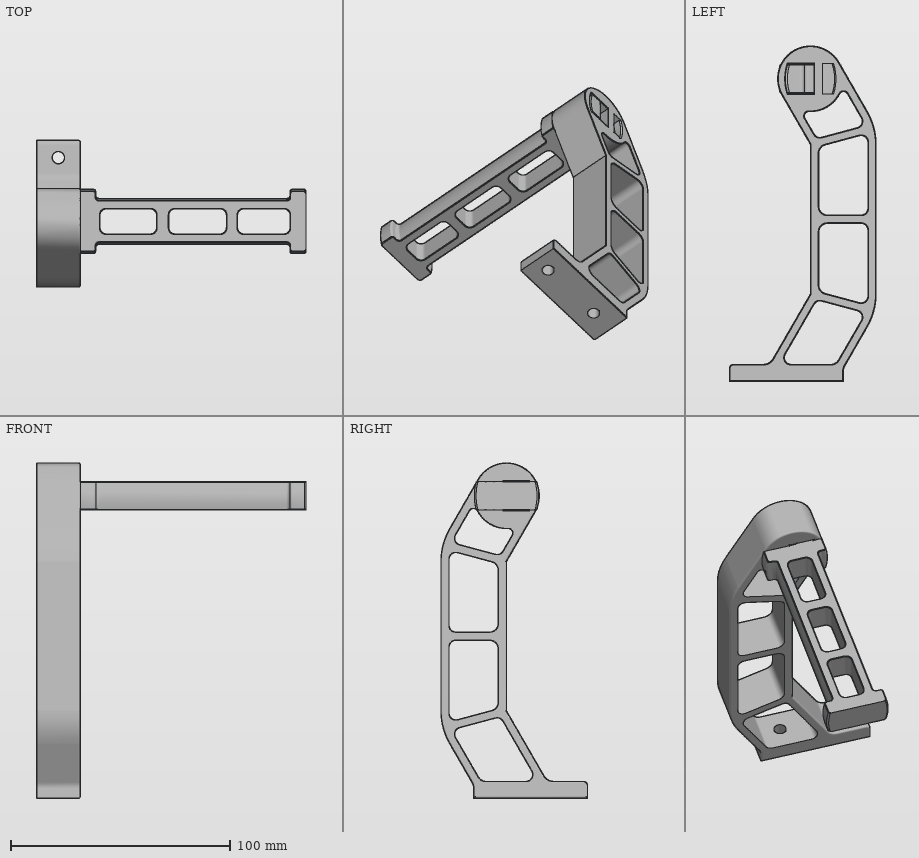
import cadquery as cq
import math


HEIGHT = 153.0
BRACKET_THICKNESS = 20.0
HEAD_RADIUS = 15.0
ARM_WIDTH = 2 * HEAD_RADIUS
BEND = math.radians(30)
LOWER_BEND_Z = 40.0
WALL = 3.8
BASE_THICKNESS = 7.8
BASE_FRONT_Y = -HEAD_RADIUS
BASE_BACK_Y = 37.0
BASE_TIP_RADIUS = 2.0
BASE_ROOT_RADIUS = 5.0
INNER_EDGE_RADIUS = 0.9
OUTER_EDGE_CHAMFER = 0.3
HEAD_WINDOW_RADIUS = 2.0
WINDOW_RADIUS = 3.0
LARGE_WINDOW_RADIUS = 4.0
SCREW_COUNT = 2
SCREW_DIAMETER = 5.5
SCREW_SPACING = 32.1
SCREW_END_DISTANCE = 8.0

TOTAL_LENGTH = 123.0
HANDLE_HEIGHT = 12.9
GRIP_HALF_WIDTH = 10.5
GRIP_SIDE_RADIUS = 21.4
FLANGE_STEP = 4.1
COLLAR_LENGTH = 7.0
END_FLANGE_LENGTH = 7.3
FLANGE_ROOT_RADIUS = 1.5
FLANGE_RIM_RADIUS = 1.0
END_CHAMFER = 0.8
HANDLE_CHAMFER = 0.3
HANDLE_WINDOW_SPANS = [(29.0, 54.8), (60.5, 86.6), (91.8, 115.7)]
HANDLE_WINDOW_WIDTH = 11.3
HANDLE_WINDOW_RADIUS = 2.8

CLIP_INNER_Y = 2.8
CLIP_RADIUS = 2.1
CLIP_CLEARANCE = 0.5
SLOT_INNER_Y = -1.5
POCKET_INNER_Y = -5.5
POCKET_DEPTH = 4.0
POCKET_FLOOR_RADIUS = 1.0
POCKET_RIM_CHAMFER = 0.6

SIN = math.sin(BEND)
COS = math.cos(BEND)
HALF_SIN = math.sin(BEND / 2)
HALF_COS = math.cos(BEND / 2)
HEAD_Z = HEIGHT - HEAD_RADIUS
UPPER_BEND_Z = HEAD_Z - HEAD_RADIUS / SIN
MIDDLE_STRUT_Z = (UPPER_BEND_Z + LOWER_BEND_Z) / 2
END_FLANGE_X = TOTAL_LENGTH - END_FLANGE_LENGTH
OPENING_HALF_HEIGHT = HANDLE_HEIGHT / 2 + CLIP_CLEARANCE
POCKET_OUTER_Y = -GRIP_HALF_WIDTH - CLIP_CLEARANCE
PICK = 0.2
CENTROID_SHIFT = 0.6

UPPER = (UPPER_BEND_Z, 1)
LOWER = (LOWER_BEND_Z, -1)


def side_plane(x=0.0):
    """Workplane at x with local axes Y and Z; extrusions go toward +X."""
    return cq.Workplane("YZ", origin=(x, 0, 0))


def long_edge(y, z):
    """Selector of the edge that runs through the bracket along X at (y, z)."""
    return cq.selectors.BoxSelector((0, y - PICK, z - PICK), (BRACKET_THICKNESS, y + PICK, z + PICK))


def cross_edge(x, y):
    """Selector of the edge in the plane at x that crosses the handle axis height near y."""
    low_corner = (x - PICK, y - CENTROID_SHIFT, HEAD_Z - PICK)
    return cq.selectors.BoxSelector(low_corner, (x + PICK, y + CENTROID_SHIFT, HEAD_Z + PICK))



def slanted_wall(bend, z, inset):
    """Point at height z on a slanted line that lies inset from the arm's +Y edge."""
    bend_z, lean = bend
    return lean * (z - bend_z) * SIN / COS - inset / COS, z


def strut_edge(bend, y, side):
    """Point at y on an edge of the strut that halves a bend; side is +1 toward the arm's end."""
    bend_z, lean = bend
    return y, bend_z + lean * (side * WALL / 2 - y * HALF_SIN) / HALF_COS


def slanted_corner(bend, inset):
    """Point where the strut's end-side edge meets the slanted line at this inset."""
    return strut_edge(bend, SIN * WALL / 2 / HALF_COS - inset, 1)


def bend_point(bend, sine, cosine):
    """Point on the arc around a bend's +Y corner."""
    bend_z, lean = bend
    return -ARM_WIDTH * cosine, bend_z + lean * ARM_WIDTH * sine


def make_bracket_blank():
    """Outline of head, bent arm and foot, with its rounded corners and handle-side edges."""
    base_root = slanted_wall(LOWER, BASE_THICKNESS, 0)
    base_front_z = LOWER_BEND_Z - (ARM_WIDTH / COS + BASE_FRONT_Y) * COS / SIN
    blank = (
        side_plane()
        .moveTo(HEAD_RADIUS * COS, HEAD_Z - HEAD_RADIUS * SIN)
        .threePointArc((0, HEIGHT), (-HEAD_RADIUS * COS, HEAD_Z + HEAD_RADIUS * SIN))
        .lineTo(*bend_point(UPPER, SIN, COS))
        .threePointArc(bend_point(UPPER, HALF_SIN, HALF_COS), bend_point(UPPER, 0, 1))
        .lineTo(*bend_point(LOWER, 0, 1))
        .threePointArc(bend_point(LOWER, HALF_SIN, HALF_COS), bend_point(LOWER, SIN, COS))
        .lineTo(BASE_FRONT_Y, base_front_z)
        .lineTo(BASE_FRONT_Y, 0)
        .lineTo(BASE_BACK_Y, 0)
        .lineTo(BASE_BACK_Y, BASE_THICKNESS)
        .lineTo(*base_root)
        .lineTo(0, LOWER_BEND_Z)
        .lineTo(0, UPPER_BEND_Z)
        .close()
        .extrude(BRACKET_THICKNESS)
    )
    blank = blank.edges(long_edge(*base_root)).fillet(BASE_ROOT_RADIUS)
    blank = blank.edges(long_edge(BASE_FRONT_Y, base_front_z)).fillet(BASE_ROOT_RADIUS)
    blank = blank.edges(long_edge(BASE_BACK_Y, BASE_THICKNESS)).fillet(BASE_TIP_RADIUS)
    return blank.faces(">X").edges().fillet(INNER_EDGE_RADIUS)


def window(corners, radii):
    """Prism through the bracket with one radius for each corner."""
    prism = side_plane().polyline(corners).close().extrude(BRACKET_THICKNESS)
    for corner, radius in zip(corners, radii):
        prism = prism.edges(long_edge(*corner)).fillet(radius)
    return prism


def upright_window(bend):
    """Window of the upright part, between the middle strut and the strut at one bend."""
    back_y = -WALL
    front_y = -ARM_WIDTH + WALL
    middle_z = MIDDLE_STRUT_Z + bend[1] * WALL / 2
    corners = [
        (back_y, middle_z),
        (front_y, middle_z),
        strut_edge(bend, front_y, -1),
        strut_edge(bend, back_y, -1),
    ]
    return window(corners, [LARGE_WINDOW_RADIUS, WINDOW_RADIUS, WINDOW_RADIUS, LARGE_WINDOW_RADIUS])


def base_window():
    """Window between the foot and the lower strut."""
    corners = [
        slanted_wall(LOWER, BASE_THICKNESS, WALL),
        slanted_wall(LOWER, BASE_THICKNESS, ARM_WIDTH - WALL),
        slanted_corner(LOWER, ARM_WIDTH - WALL),
        slanted_corner(LOWER, WALL),
    ]
    return window(corners, [WINDOW_RADIUS, LARGE_WINDOW_RADIUS, WINDOW_RADIUS, WINDOW_RADIUS])


def head_window():
    """Window between the upper strut and the round head."""
    lower_corners = [slanted_corner(UPPER, WALL), slanted_corner(UPPER, ARM_WIDTH - WALL)]
    upper_corners = [
        slanted_wall(UPPER, HEAD_Z, ARM_WIDTH - WALL),
        slanted_wall(UPPER, HEAD_Z, WALL),
    ]
    head = side_plane().center(0, HEAD_Z).circle(HEAD_RADIUS).extrude(BRACKET_THICKNESS)
    prism = side_plane().polyline(lower_corners + upper_corners).close().extrude(BRACKET_THICKNESS)
    opening = cq.Workplane(prism.cut(head).solids("<Z").val())
    for corner in lower_corners:
        opening = opening.edges(long_edge(*corner)).fillet(WINDOW_RADIUS)
    head_edges = [
        edge for edge in opening.edges("|X").vals()
        if abs(math.hypot(edge.Center().y, edge.Center().z - HEAD_Z) - HEAD_RADIUS) < PICK
    ]
    return opening.newObject(head_edges).fillet(HEAD_WINDOW_RADIUS)


def bulged_block(x, length, inner_y, outer_y, half_height, side_radius):
    """Block with a flat side at inner_y and a bulged side whose crest is at outer_y."""
    sagitta = side_radius - math.sqrt(side_radius**2 - half_height**2)
    bulge_edge_y = outer_y - math.copysign(sagitta, outer_y - inner_y)
    return (
        side_plane(x)
        .moveTo(inner_y, HEAD_Z - half_height)
        .lineTo(bulge_edge_y, HEAD_Z - half_height)
        .threePointArc((outer_y, HEAD_Z), (bulge_edge_y, HEAD_Z + half_height))
        .lineTo(inner_y, HEAD_Z + half_height)
        .close()
        .extrude(length)
    )


def clip_slot():
    """Slot through the head, with room beside the clip for it to bend."""
    outer_y = GRIP_HALF_WIDTH + 2 * CLIP_CLEARANCE
    return bulged_block(
        0, BRACKET_THICKNESS, SLOT_INNER_Y, outer_y, OPENING_HALF_HEIGHT, GRIP_SIDE_RADIUS
    )


def head_pocket():
    """Blind pocket beside the clip slot, rounded along the inner side of its floor."""
    pocket = bulged_block(
        0, POCKET_DEPTH, POCKET_INNER_Y, POCKET_OUTER_Y, OPENING_HALF_HEIGHT, GRIP_SIDE_RADIUS
    )
    return pocket.faces(">X").edges(">Y").fillet(POCKET_FLOOR_RADIUS)


def screw_holes():
    """Row of screw holes through the foot."""
    first_y = BASE_BACK_Y - SCREW_END_DISTANCE
    places = [(BRACKET_THICKNESS / 2, first_y - i * SCREW_SPACING) for i in range(SCREW_COUNT)]
    return cq.Workplane("XY").pushPoints(places).circle(SCREW_DIAMETER / 2).extrude(BASE_THICKNESS)


def make_bracket():
    body = make_bracket_blank()
    for opening in (
        head_window(), upright_window(UPPER), upright_window(LOWER), base_window(), clip_slot(),
    ):
        body = body.cut(opening)
    body = body.faces("<X").edges().chamfer(OUTER_EDGE_CHAMFER)
    body = body.cut(head_pocket())
    body = body.edges(cross_edge(0, POCKET_OUTER_Y)).chamfer(POCKET_RIM_CHAMFER)
    return body.cut(screw_holes())



def handle_bar(x, length, widening):
    """Stretch of the handle with both sides bulged, wider than the grip by widening per side."""
    half_width = GRIP_HALF_WIDTH + widening
    side_radius = GRIP_SIDE_RADIUS + widening
    sides = [
        bulged_block(x, length, 0, outer_y, HANDLE_HEIGHT / 2, side_radius)
        for outer_y in (half_width, -half_width)
    ]
    return sides[0].union(sides[1])


def side_edges(body, x, half_width):
    """The two curved edges at x, one on each side of the handle, whose middles are at half_width."""
    selectors = [cross_edge(x, y) for y in (half_width, -half_width)]
    return body.edges(selectors[0] + selectors[1])


def handle_window(start_x, end_x):
    """Vertical opening through the handle between two places along X."""
    return (
        cq.Workplane("XY", origin=((start_x + end_x) / 2, 0, HEAD_Z))
        .box(end_x - start_x, HANDLE_WINDOW_WIDTH, 2 * HANDLE_HEIGHT)
        .edges("|Z")
        .fillet(HANDLE_WINDOW_RADIUS)
    )


def make_grip():
    """Grip with its collar, end flange, windows and chamfered top and bottom edges."""
    collar_end_x = BRACKET_THICKNESS + COLLAR_LENGTH
    flange_half_width = GRIP_HALF_WIDTH + FLANGE_STEP
    body = handle_bar(BRACKET_THICKNESS, TOTAL_LENGTH - BRACKET_THICKNESS, 0)
    body = body.union(handle_bar(BRACKET_THICKNESS, COLLAR_LENGTH, FLANGE_STEP))
    body = body.union(handle_bar(END_FLANGE_X, END_FLANGE_LENGTH, FLANGE_STEP)).clean()
    for x in (collar_end_x, END_FLANGE_X):
        body = side_edges(body, x, GRIP_HALF_WIDTH).fillet(FLANGE_ROOT_RADIUS)
        body = side_edges(body, x, flange_half_width).fillet(FLANGE_RIM_RADIUS)
    body = side_edges(body, TOTAL_LENGTH, flange_half_width).chamfer(END_CHAMFER)
    for start_x, end_x in HANDLE_WINDOW_SPANS:
        body = body.cut(handle_window(start_x, end_x))
    end_edges = cq.selectors.ParallelDirSelector(cq.Vector(0, 1, 0)) - cq.selectors.BoxSelector(
        (BRACKET_THICKNESS + PICK, -HEIGHT, 0), (TOTAL_LENGTH - PICK, HEIGHT, HEIGHT)
    )
    return body.faces(">Z or <Z").edges(cq.selectors.InverseSelector(end_edges)).chamfer(HANDLE_CHAMFER)


def make_clip():
    """Springy tongue that reaches through the bracket, rounded at its tip."""
    tongue = bulged_block(
        0, BRACKET_THICKNESS, CLIP_INNER_Y, GRIP_HALF_WIDTH, HANDLE_HEIGHT / 2, GRIP_SIDE_RADIUS
    )
    return tongue.faces("<X").edges("<Y").fillet(CLIP_RADIUS)


def make_handle():
    body = make_grip().union(make_clip())
    return body.edges(cross_edge(BRACKET_THICKNESS, CLIP_INNER_Y)).fillet(CLIP_RADIUS)


bracket = make_bracket()
handle = make_handle()

result = cq.Compound.makeCompound([bracket.val(), handle.val()])